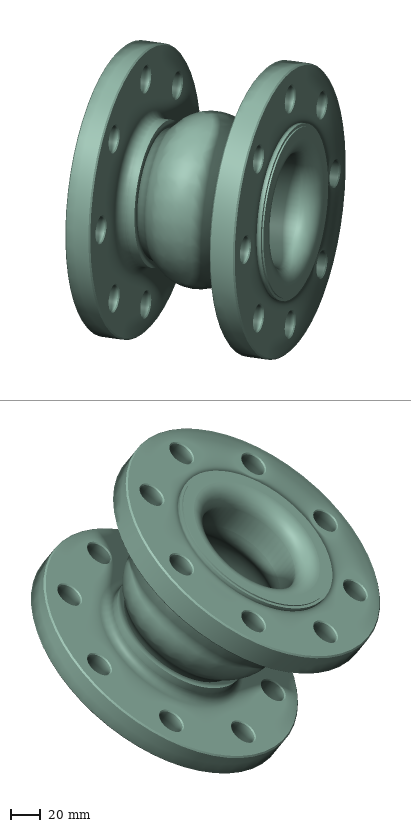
import cadquery as cq
import math

joint_length = 130.0
mid_x = joint_length / 2

flange_diameter = 200.0
flange_inset = 4.0
plate_thickness = 18.0
rim_chamfer = 1.0
collar_diameter = 100.0
collar_length = 12.0
collar_fillet = 6.0
collar_end_x = flange_inset + plate_thickness + collar_length

bolt_count = 8
bolt_circle_diameter = 160.0
bolt_hole_diameter = 18.0
bolt_hole_chamfer = 0.8

bore_diameter = 75.0
tube_diameter = 89.0
wall = (tube_diameter - bore_diameter) / 2
bulge_diameter = 120.0
lip_diameter = 120.0
seal_face_diameter = 116.0
seal_face_height = 1.0
mouth_radius = 12.0
bulge_start_x = 31.0
root_radius = 14.0

tube_r = tube_diameter / 2
bore_r = bore_diameter / 2
crest_r = bulge_diameter / 2
rise = crest_r - tube_r
run = mid_x - bulge_start_x
radius_sum = (run**2 + rise**2) / (2 * rise)
crest_radius = radius_sum - root_radius
root_center = (bulge_start_x, tube_r + root_radius)
crest_center = (mid_x, crest_r - crest_radius)
swell_angle = math.asin(run / radius_sum)


def around_axis(profile):
    """Revolve a closed XY profile about the X axis."""
    return profile.close().revolve(360, (0, 0, 0), (1, 0, 0))


def root_point(angle, radius):
    """Point on a root arc, at an angle measured from its lowest point."""
    return (root_center[0] + radius * math.sin(angle), root_center[1] - radius * math.cos(angle))


def crest_point(angle, radius):
    """Point on a crest arc, at an angle measured from the top; positive is to the right."""
    return (crest_center[0] + radius * math.sin(angle), crest_center[1] + radius * math.cos(angle))


def mirrored(point):
    """Point reflected in the middle plane of the joint."""
    return (joint_length - point[0], point[1])


def add_bulge(profile, root, crest):
    """Continue a profile from left to right over the bulge, from tube to tube."""
    left_start = root_point(0, root)
    left_middle = root_point(swell_angle / 2, root)
    left_end = root_point(swell_angle, root)
    return (
        profile.lineTo(*left_start)
        .threePointArc(left_middle, left_end)
        .threePointArc(crest_point(0, crest), mirrored(left_end))
        .threePointArc(mirrored(left_middle), mirrored(left_start))
    )


def make_bellows():
    lip_r = lip_diameter / 2
    seal_face_r = seal_face_diameter / 2
    outer = (
        cq.Workplane("XY")
        .lineTo(0, seal_face_r)
        .lineTo(seal_face_height, seal_face_r)
        .lineTo(seal_face_height, lip_r)
        .lineTo(flange_inset, lip_r)
        .lineTo(flange_inset, tube_r)
    )
    outer = add_bulge(outer, root_radius, crest_radius)
    outer = (
        outer.lineTo(joint_length - flange_inset, tube_r)
        .lineTo(joint_length - flange_inset, lip_r)
        .lineTo(joint_length - seal_face_height, lip_r)
        .lineTo(joint_length - seal_face_height, seal_face_r)
        .lineTo(joint_length, seal_face_r)
        .lineTo(joint_length, 0)
    )

    mouth_start = (0, bore_r + mouth_radius)
    mouth_offset = mouth_radius * (1 - math.sqrt(0.5))
    mouth_middle = (mouth_offset, bore_r + mouth_offset)
    mouth_end = (mouth_radius, bore_r)
    cavity = cq.Workplane("XY").lineTo(*mouth_start).threePointArc(mouth_middle, mouth_end)
    cavity = add_bulge(cavity, root_radius + wall, crest_radius - wall)
    cavity = (
        cavity.lineTo(*mirrored(mouth_end))
        .threePointArc(mirrored(mouth_middle), mirrored(mouth_start))
        .lineTo(joint_length, 0)
    )
    return around_axis(outer).cut(around_axis(cavity))


def make_bolt_hole_cutter():
    """Hole through the plate at the top of the bolt circle, chamfered at both faces."""
    hole_r = bolt_hole_diameter / 2
    mouth_r = hole_r + bolt_hole_chamfer
    profile = (
        cq.Workplane("XY")
        .lineTo(0, mouth_r)
        .lineTo(bolt_hole_chamfer, hole_r)
        .lineTo(plate_thickness - bolt_hole_chamfer, hole_r)
        .lineTo(plate_thickness, mouth_r)
        .lineTo(plate_thickness, 0)
    )
    return around_axis(profile).translate((flange_inset, 0, bolt_circle_diameter / 2))


def make_flange():
    """Left flange, with its collar pointing toward the middle of the joint."""
    rim_r = flange_diameter / 2
    collar_r = collar_diameter / 2
    plate_end_x = flange_inset + plate_thickness
    fillet_offset = collar_fillet * (1 - math.sqrt(0.5))
    profile = (
        cq.Workplane("XY")
        .moveTo(flange_inset, tube_r)
        .lineTo(flange_inset, rim_r - rim_chamfer)
        .lineTo(flange_inset + rim_chamfer, rim_r)
        .lineTo(plate_end_x - rim_chamfer, rim_r)
        .lineTo(plate_end_x, rim_r - rim_chamfer)
        .lineTo(plate_end_x, collar_r + collar_fillet)
        .threePointArc(
            (plate_end_x + fillet_offset, collar_r + fillet_offset),
            (plate_end_x + collar_fillet, collar_r),
        )
        .lineTo(collar_end_x, collar_r)
        .lineTo(collar_end_x, tube_r)
    )
    flange = around_axis(profile)
    cutter = make_bolt_hole_cutter()
    for i in range(bolt_count):
        flange = flange.cut(cutter.rotate((0, 0, 0), (1, 0, 0), i * 360 / bolt_count))
    return flange


bellows = make_bellows()

flanges = []
for turn in (0, 180):
    flange = make_flange().rotate((mid_x, 0, 0), (mid_x, 0, 1), turn)
    flanges.append(flange.cut(bellows))

result = cq.Compound.makeCompound([bellows.val(), *[flange.val() for flange in flanges]])